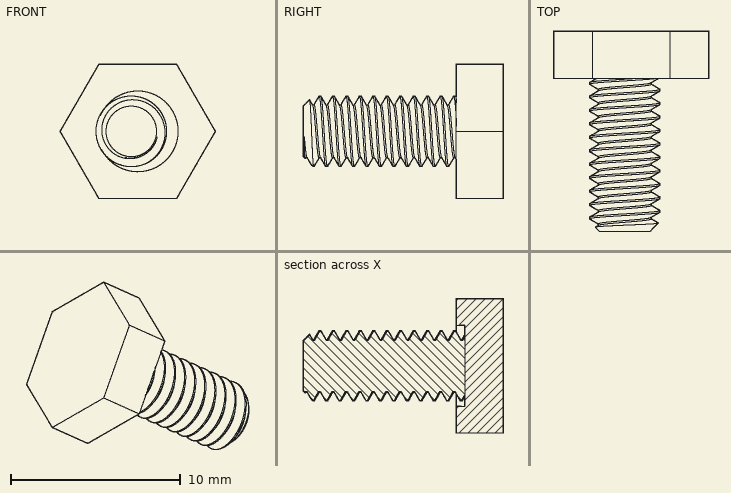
import cadquery as cq
import math

head_sides = 6
head_across_flats = 7.938
head_across_corners = head_across_flats / math.cos(math.pi / head_sides)
head_thickness = 2.794
pocket_diameter = 4.763
pocket_depth = 0.508

stud_length = 9.525
stud_offset_x = -0.381
tip_y = pocket_depth - stud_length
tip_flat_radius = 1.49
tip_cone_angle = 45.0

pitch = 0.79375
major_diameter = 4.166
major_radius = major_diameter / 2
flank_angle = 30.0
crest_width = pitch / 8
root_width = pitch / 8
flank_width = (pitch - crest_width - root_width) / 2
root_radius = major_radius - flank_width / math.tan(math.radians(flank_angle))
first_crest_distance = pitch / 4
groove_overrun = 3 * pitch
groove_clearance = 0.05
groove_turns = math.ceil((stud_length + 2 * groove_overrun) / pitch)
groove_length = groove_turns * pitch


def make_head():
    head = cq.Workplane("XZ").polygon(head_sides, head_across_corners).extrude(-head_thickness)
    pocket = cq.Workplane("XZ").circle(pocket_diameter / 2).extrude(-pocket_depth)
    return head.cut(pocket)


def helix(radius, start_height):
    """Helical edge that starts on local X, at the given height above the tip."""
    wire = cq.Wire.makeHelix(pitch, groove_length, radius, center=cq.Vector(0, 0, start_height))
    return wire.Edges()[0]


def make_groove():
    """Helical groove of trapezoid section, open to the outside."""
    middle = first_crest_distance + pitch / 2 - groove_overrun
    outer_radius = major_radius + groove_clearance
    inner_half_width = root_width / 2
    outer_half_width = inner_half_width + (outer_radius - root_radius) * math.tan(math.radians(flank_angle))
    corners = [
        (root_radius, middle - inner_half_width),
        (root_radius, middle + inner_half_width),
        (outer_radius, middle + outer_half_width),
        (outer_radius, middle - outer_half_width),
    ]
    edges = [helix(radius, height) for radius, height in corners]
    sides = [cq.Face.makeRuledSurface(edges[i - 1], edges[i]) for i in range(len(edges))]
    section_points = [cq.Vector(radius, 0, height) for radius, height in corners]
    start_cap = cq.Face.makeFromWires(cq.Wire.makePolygon(section_points, close=True))
    end_cap = start_cap.translate(cq.Vector(0, 0, groove_length))
    return cq.Solid.makeSolid(cq.Shell.makeShell([*sides, start_cap, end_cap]))


def make_stud_envelope():
    """Full-length round outline with a bevelled tip, clear of the crests beyond the bevel."""
    clear_radius = major_radius + pitch
    cone_height = (clear_radius - tip_flat_radius) / math.tan(math.radians(tip_cone_angle))
    return (
        cq.Workplane("XZ")
        .polyline([
            (0, 0),
            (tip_flat_radius, 0),
            (clear_radius, cone_height),
            (clear_radius, stud_length),
            (0, stud_length),
        ])
        .close()
        .revolve(360, (0, 0), (0, 1))
    )


def make_stud():
    """Stud modelled along Z from its tip, then laid along Y with its X axis turned up."""
    bar_margin = 2 * pitch
    bar_start = -groove_overrun - bar_margin
    bar_length = groove_length + 2 * bar_margin
    bar = cq.Workplane("XY", origin=(0, 0, bar_start)).circle(major_radius).extrude(bar_length)
    threaded_bar = bar.cut(cq.Workplane(make_groove()))
    stud = threaded_bar.intersect(make_stud_envelope())
    placement = cq.Plane(origin=(stud_offset_x, tip_y, 0), xDir=(0, 0, 1), normal=(0, 1, 0))
    return cq.Workplane(stud.val().moved(cq.Location(placement)))


stud = make_stud()
head = make_head().cut(stud)
result = cq.Compound.makeCompound([head.val(), stud.val()])